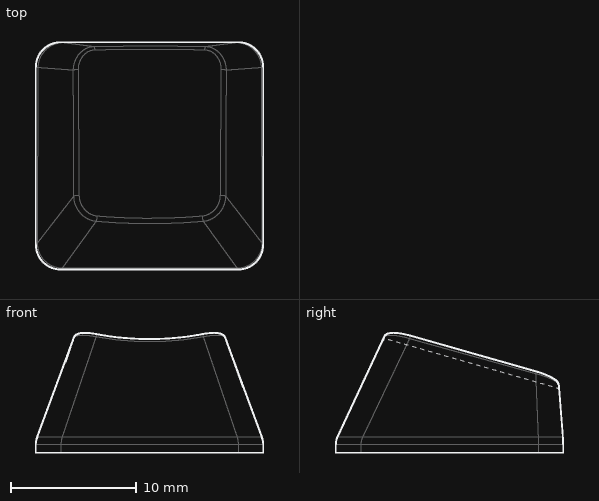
import cadquery as cq
import math

base_side = 18.16
base_corner_radius = 2.0
skirt_height = 0.69

wall_base_height = 1.0
shoulder_top = 1.3
shoulder_side_inset = 0.04
shoulder_front_inset = 0.04
shoulder_back_inset = 0.02

tilt_angle = 16.0
rim_plane_height = 8.63
rim_width = 11.88
rim_front = -4.87
rim_back = 8.68
rim_corner_radius = 1.9

dish_radius = 20.88
dish_depth = 0.93
dish_length = 36.32
rim_fillet_radius = 0.36

tilt = math.radians(tilt_angle)


def rounded_rectangle(width, length, radius):
    return cq.Sketch().rect(width, length).vertices().fillet(radius)


def tilted_plane(y):
    """Plane of the rim, with its origin on the centre line at the given Y."""
    origin = (0, y, rim_plane_height - y * math.tan(tilt))
    normal = (0, math.sin(tilt), math.cos(tilt))
    return cq.Plane(origin=origin, xDir=(1, 0, 0), normal=normal)


def make_skirt():
    outline = rounded_rectangle(base_side, base_side, base_corner_radius)
    return cq.Workplane("XY").placeSketch(outline).extrude(skirt_height)


def make_tapered_body():
    """Straight-ruled walls from the shoulder to the tilted rim."""
    rim_length = (rim_back - rim_front) / math.cos(tilt)
    lower = rounded_rectangle(base_side, base_side, base_corner_radius)
    upper = rounded_rectangle(rim_width, rim_length, rim_corner_radius)
    wall_base = cq.Plane(origin=(0, 0, wall_base_height))
    rim_plane = tilted_plane((rim_front + rim_back) / 2)
    walls = cq.Workplane("XY").placeSketch(
        lower.moved(wall_base.location),
        upper.moved(rim_plane.location),
    ).loft(ruled=True)
    below_shoulder = cq.Workplane("XY").box(
        2 * base_side, 2 * base_side, shoulder_top, centered=(True, True, False)
    )
    return walls.cut(below_shoulder)


def make_shoulder(skirt, body):
    """Smooth loft from the skirt top, through a slight inset, to the foot of the walls."""
    middle_outline = rounded_rectangle(
        base_side - 2 * shoulder_side_inset,
        base_side - shoulder_front_inset - shoulder_back_inset,
        base_corner_radius,
    )
    middle_centre = cq.Vector(0, (shoulder_front_inset - shoulder_back_inset) / 2, wall_base_height)
    middle_wire = middle_outline.moved(cq.Location(middle_centre)).reset().wires().val()
    sections = [
        skirt.faces(">Z").val().outerWire(),
        middle_wire,
        body.faces("<Z").val().outerWire(),
    ]
    return cq.Workplane(cq.Solid.makeLoft(sections))


def make_dish():
    axis_height = dish_radius - dish_depth
    profile = cq.Workplane(tilted_plane(0)).transformed(
        rotate=(90, 0, 0), offset=(0, 0, axis_height)
    )
    return profile.circle(dish_radius).extrude(dish_length / 2, both=True)


skirt = make_skirt()
body = make_tapered_body()
keycap = skirt.union(make_shoulder(skirt, body)).union(body)

keycap = keycap.cut(make_dish())
valley_point = (0, 0, rim_plane_height - dish_depth)
dish_face = keycap.faces(cq.selectors.NearestToPointSelector(valley_point))
result = dish_face.edges().fillet(rim_fillet_radius)